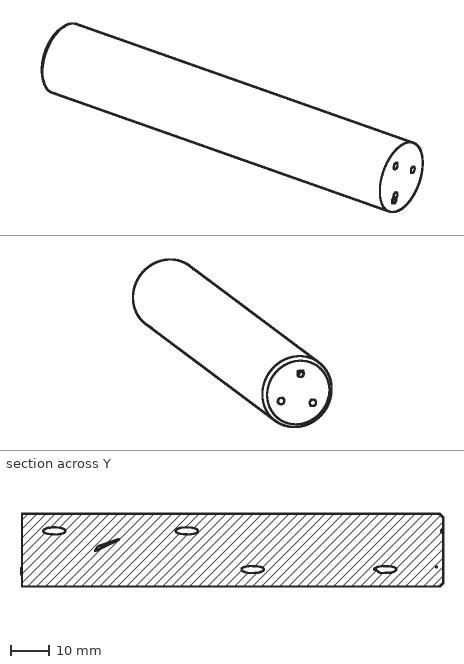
import cadquery as cq
import math

total_length = 110.0
bar_diameter = 19.0
chamfer = 1.0

pin_diameter = 1.6
pin_height = 0.2
pin_y = -3.3
pin_z = -5.45
bar_length = total_length - pin_height

bore_count = 3
bore_diameter = 1.8
bore_circle_radius = 5.1
first_bore_angle = 97.5
helix_angle = 30.0
helix_lead = math.pi * bar_diameter / math.tan(math.radians(helix_angle))
bore_overrun = 1.1


def make_bar():
    """Plain bar with its -X rim chamfered."""
    bar = cq.Workplane("YZ").circle(bar_diameter / 2).extrude(bar_length)
    return bar.faces("<X").chamfer(chamfer)


def make_pin():
    """Pin rooted in the bar by its own height, so that the two fuse."""
    root = cq.Workplane("YZ", origin=(bar_length - pin_height, 0, 0))
    return root.center(pin_y, pin_z).circle(pin_diameter / 2).extrude(2 * pin_height)


def make_bore():
    """Cutter for one bore that crosses the -X end of the bar on the +Y axis."""
    cutter_length = bar_length + 2 * bore_overrun
    path = cq.Wire.makeHelix(helix_lead, cutter_length, bore_circle_radius)
    section = cq.Workplane("XY").center(bore_circle_radius, 0).circle(bore_diameter / 2)
    bore = section.sweep(cq.Workplane(path), isFrenet=True)
    bore = bore.rotate((0, 0, 0), (1, 1, 1), 120)
    overrun_turn = 360 * bore_overrun / helix_lead
    return bore.translate((-bore_overrun, 0, 0)).rotate((0, 0, 0), (1, 0, 0), -overrun_turn)


result = make_bar()
bore_cutter = make_bore()
for index in range(bore_count):
    angle = first_bore_angle + index * 360 / bore_count
    result = result.cut(bore_cutter.rotate((0, 0, 0), (1, 0, 0), angle))
result = result.union(make_pin())